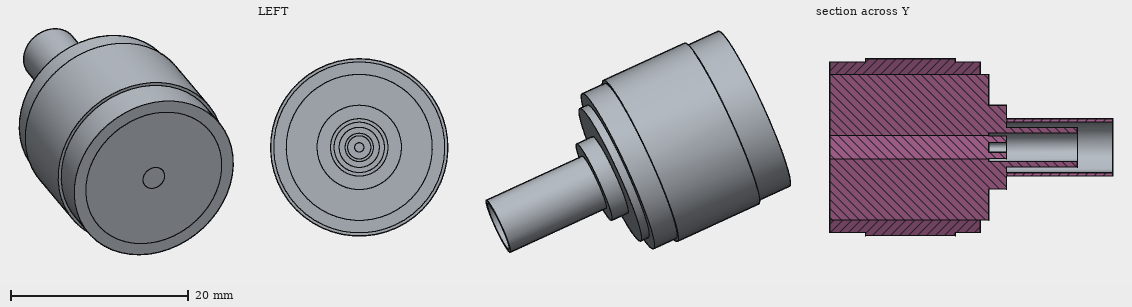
import cadquery as cq


length = 31.95
ferrule_length = 11.98
boss_length = 2.0
collar_length = 0.95
rear_band_length = 2.8
grip_length = 10.15
stem_start = 4.0
pin_start = ferrule_length
core_start = ferrule_length + boss_length
nut_start = core_start + collar_length
grip_start = nut_start + rear_band_length
grip_end = grip_start + grip_length

grip_diameter = 20.03
nut_diameter = 19.3
core_diameter = 16.48
boss_diameter = 9.52
ferrule_diameter = 6.48
ferrule_bore = 5.7
stem_diameter = 4.55
stem_bore = 3.2
pin_diameter = 2.62
wire_hole_diameter = 1.05

stem_bore_end = core_start
wire_hole_depth = boss_length


def cylinder(start, end, diameter):
    """Solid cylinder on the X axis from X = start to X = end, with its seam on the +Z side."""
    radius = diameter / 2
    half_section = cq.Workplane("XZ").moveTo(start, 0).lineTo(start, radius).lineTo(end, radius)
    return half_section.lineTo(end, 0).close().revolve(360, (0, 0, 0), (1, 0, 0))


def make_ferrule():
    """Thin crimp tube that butts against the boss of the body."""
    tube = cylinder(0, ferrule_length, ferrule_diameter)
    return tube.cut(cylinder(0, ferrule_length, ferrule_bore))


def make_body():
    """Crimp stem, boss and core, with a stem bore narrowing to the pin hole."""
    stem = cylinder(stem_start, ferrule_length, stem_diameter)
    boss = cylinder(ferrule_length, core_start, boss_diameter)
    core = cylinder(core_start, length, core_diameter)
    turned = stem.union(boss).union(core)
    cable_hole = cylinder(stem_start, stem_bore_end, stem_bore)
    pin_hole = cylinder(stem_bore_end, length, pin_diameter)
    return turned.cut(cable_hole).cut(pin_hole)


def make_nut():
    """Coupling sleeve around the core, with a raised grip band."""
    sleeve = cylinder(nut_start, length, nut_diameter)
    grip = cylinder(grip_start, grip_end, grip_diameter)
    return sleeve.union(grip).cut(cylinder(nut_start, length, core_diameter))


def make_pin():
    """Centre contact whose cable end stands free in the stem bore and has a blind wire hole."""
    contact = cylinder(pin_start, length, pin_diameter)
    return contact.cut(cylinder(pin_start, pin_start + wire_hole_depth, wire_hole_diameter))


ferrule = make_ferrule()
body = make_body()
nut = make_nut()
pin = make_pin()

result = cq.Compound.makeCompound([part.solids().val() for part in (ferrule, body, nut, pin)])